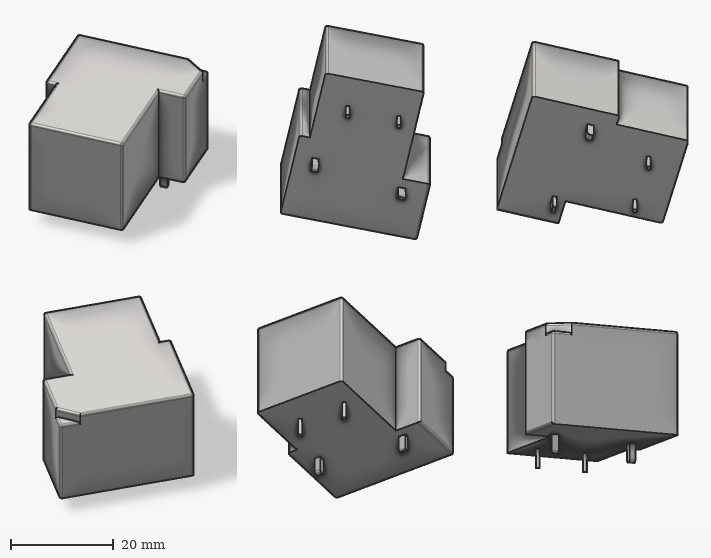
import cadquery as cq

length_x = 27.2
length_y = 32.0
housing_height = 20.5
edge_radius = 0.5

left_step_width = 2.08
left_step_length = 14.47
right_step_width = 5.5
right_step_length = 19.55

notch_x = 4.15
notch_y = 2.98
notch_depth = 2.0

terminal_length = 3.7

coil_pin_diameter = 0.8
coil_pin_spacing = 10.18
coil_pin_middle_x = -0.6
coil_pin_y = -9.47

square_pin_width = 1.28
square_pin_x = -9.5
square_pin_y = 3.35

blade_width = 1.5
blade_thickness = 0.8
blade_x = 8.32
blade_y = 5.9
blade_tip_height = 0.48
blade_tip_inset = 0.13

x_max = length_x / 2
x_min = -x_max
y_max = length_y / 2
y_min = -y_max
left_step_x = x_min + left_step_width
left_step_y = y_min + left_step_length
right_step_x = x_max - right_step_width
right_step_y = y_min + right_step_length
notch_floor = housing_height - notch_depth


def make_notch():
    """Triangular prism that lowers the +X, +Y corner of the top."""
    corners = [(x_max, y_max), (x_max - notch_x, y_max), (x_max, y_max - notch_y)]
    return cq.Workplane("XY", origin=(0, 0, notch_floor)).polyline(corners).close().extrude(notch_depth)


def edge_near(body, point):
    """One-item list with the edge whose middle lies closest to a point."""
    return body.edges(cq.selectors.NearestToPointSelector(point)).vals()


def make_housing():
    """Stepped block, rounded on its top edges and on its outer corners."""
    outline = [
        (left_step_x, y_min),
        (right_step_x, y_min),
        (right_step_x, right_step_y),
        (x_max, right_step_y),
        (x_max, y_max),
        (x_min, y_max),
        (x_min, left_step_y),
        (left_step_x, left_step_y),
    ]
    block = cq.Workplane("XY").polyline(outline).close().extrude(housing_height).cut(make_notch())

    outer_corners = [
        (left_step_x, y_min),
        (right_step_x, y_min),
        (x_max, right_step_y),
        (x_min, y_max),
        (x_min, left_step_y),
    ]
    rounded = block.faces(">Z").edges().vals()
    for x, y in outer_corners:
        rounded += edge_near(block, (x, y, housing_height / 2))
    rounded += edge_near(block, (x_max, y_max, notch_floor / 2))
    rounded += edge_near(block, (x_max - notch_x / 2, y_max, notch_floor))
    rounded += edge_near(block, (x_max, y_max - notch_y / 2, notch_floor))
    rounded += edge_near(block, (x_max, (right_step_y + y_max) / 2, 0))
    return block.newObject(rounded).fillet(edge_radius)


def make_coil_pin(x):
    """Plain round pin."""
    return cq.Workplane("XY", origin=(x, coil_pin_y, 0)).circle(coil_pin_diameter / 2).extrude(-terminal_length)


def make_square_pin():
    """Square pin with a half-round tip whose axis runs along X."""
    tip_radius = square_pin_width / 2
    tip_start = -terminal_length + tip_radius
    return (
        cq.Workplane("YZ", origin=(square_pin_x - square_pin_width / 2, square_pin_y, 0))
        .moveTo(-tip_radius, 0)
        .lineTo(-tip_radius, tip_start)
        .threePointArc((0, -terminal_length), (tip_radius, tip_start))
        .lineTo(tip_radius, 0)
        .close()
        .extrude(square_pin_width)
    )


def make_blade():
    """Flat blade whose tip tapers on all four sides."""
    shank_length = terminal_length - blade_tip_height
    shank = (
        cq.Workplane("XY", origin=(blade_x, blade_y, 0))
        .rect(blade_width, blade_thickness)
        .extrude(-shank_length)
    )
    tip = (
        cq.Workplane("XY", origin=(blade_x, blade_y, -shank_length))
        .rect(blade_width, blade_thickness)
        .workplane(offset=-blade_tip_height)
        .rect(blade_width - 2 * blade_tip_inset, blade_thickness - 2 * blade_tip_inset)
        .loft(combine=True)
    )
    return shank.union(tip)


housing = make_housing()
coil_pins = [make_coil_pin(coil_pin_middle_x + side * coil_pin_spacing / 2) for side in (-1, 1)]
square_pin = make_square_pin()
blade = make_blade()

result = cq.Compound.makeCompound(
    [housing.val(), *[pin.val() for pin in coil_pins], square_pin.val(), blade.val()]
)